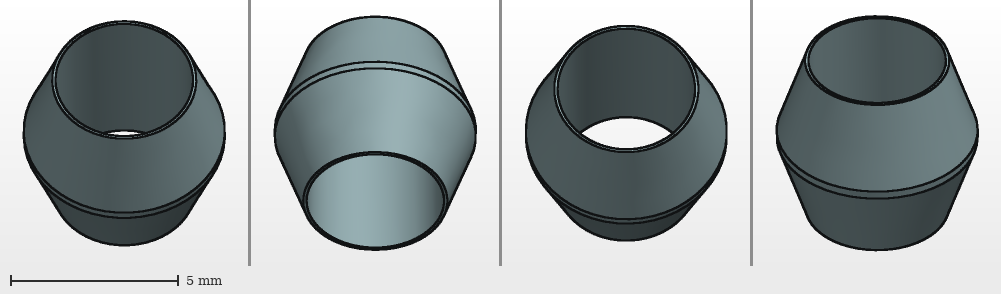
import cadquery as cq
import math

length = 5.5
outer_diameter = 6.0
end_diameter = 4.3
bore_diameter = 4.1
cone_half_angle = 18.0

outer_radius = outer_diameter / 2
end_radius = end_diameter / 2
bore_radius = bore_diameter / 2
cone_height = (outer_radius - end_radius) / math.tan(math.radians(cone_half_angle))


def make_ferrule():
    """Revolve the wall section: straight bore, two cones and a narrow cylindrical band between them."""
    wall_section = [
        (bore_radius, 0),
        (end_radius, 0),
        (outer_radius, cone_height),
        (outer_radius, length - cone_height),
        (end_radius, length),
        (bore_radius, length),
    ]
    return cq.Workplane("XZ").polyline(wall_section).close().revolve(360, (0, 0), (0, 1))


result = make_ferrule()